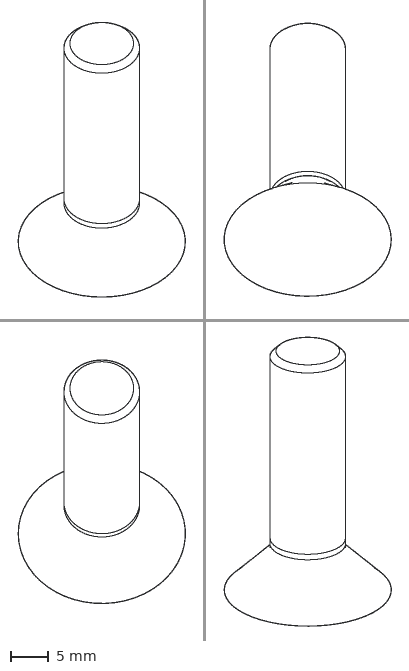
import cadquery as cq
import math

length = 35.0
head_diameter = 22.1
shank_radius = 5.0
chamfer = 0.8
thread_start = 7.63
fillet_radius = 0.4
cone_angle = math.radians(45)

head_radius = head_diameter / 2
core_radius = shank_radius - chamfer
collar_top = thread_start - chamfer
cone_top = (head_radius - shank_radius) / math.tan(cone_angle)

tangent_length = fillet_radius * math.tan(cone_angle / 2)
blend_bottom = (
    shank_radius + tangent_length * math.sin(cone_angle),
    cone_top - tangent_length * math.cos(cone_angle),
)
blend_top = (shank_radius, cone_top + tangent_length)
blend_middle = (
    shank_radius + fillet_radius * (1 - math.cos(cone_angle / 2)),
    blend_top[1] - fillet_radius * math.sin(cone_angle / 2),
)

profile = (
    cq.Workplane("XZ")
    .moveTo(0, 0)
    .lineTo(head_radius, 0)
    .lineTo(*blend_bottom)
    .threePointArc(blend_middle, blend_top)
    .lineTo(shank_radius, collar_top)
    .lineTo(core_radius, thread_start)
    .lineTo(shank_radius, thread_start)
    .lineTo(shank_radius, length - chamfer)
    .lineTo(core_radius, length)
    .lineTo(0, length)
    .close()
)

result = profile.revolve(360, (0, 0, 0), (0, 1, 0))